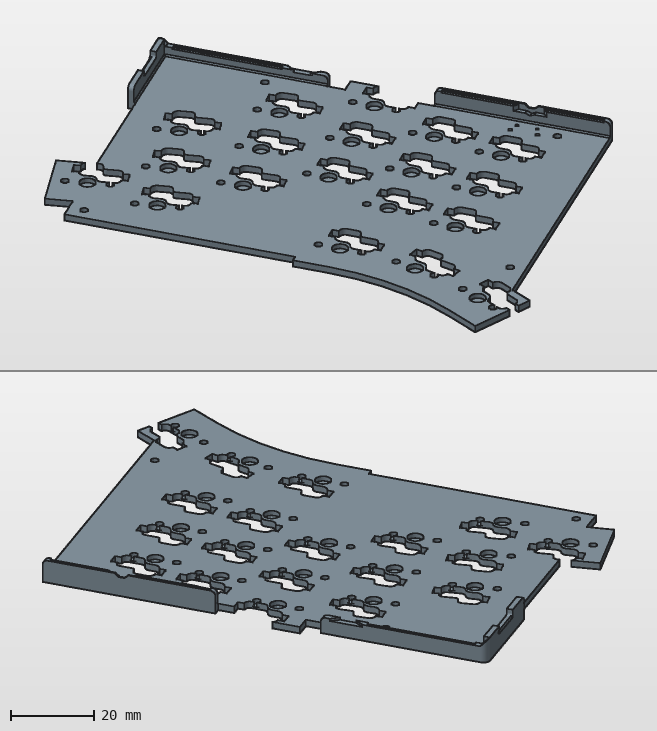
import cadquery as cq
import math


PLATE_WIDTH = 113.0
PLATE_DEPTH = 75.0
PLATE_THICK = 1.8
CELL_WIDTH = 18.1
CELL_DEPTH = 17.5

KEY_SPACING = 17.0
KEY_COLUMNS = [
    (14.0, 44.4, 10, 3),
    (34.1, 59.9, 4, 3),
    (54.8, 70.2, 0, 3),
    (72.9, 61.9, 0, 3),
    (90.9, 59.0, 0, 3),
]
SIDE_KEY = (0.6, 15.3, 10)
REAR_KEY = (54.8, 70.2, 0)
FAN_X = 67.8
FAN_KEY_Y = 7.0
FAN_RADIUS = 77.1
FAN_STEP = 15
THUMB_KEYS = 3

POST_DIA = 4.0
PEG_DIA = 1.9
PEG_OFFSET = 5.5
POCKET_DEPTH = 1.3

MOUNT_DIA = 1.9
MOUNT_HOLES = [(26.4, 71.7), (100.9, 71.7), (109.2, 12.3), (3.8, 3.3)]
CONNECTOR_X = 92.6
CONNECTOR_HOLES = [(2.6, 73.1, 0.8), (3.5, 70.7, 1.0)]

WALL_THICK = 1.5
WALL_GAP = 0.4
WALL_REACH = WALL_GAP + WALL_THICK
CORNER_RADIUS = 1.8
END_ROUND = 1.3
LEFT_WALL_HEIGHT = 6.4
LEFT_WALL_START = 52.6
REAR_LEFT_HEIGHT = 4.4
REAR_LEFT_END = 41.2
REAR_RIGHT_HEIGHT = 6.0
REAR_RIGHT_START = 68.4
LEDGE_DROP = 0.4
LEDGE_WIDTH = 0.8
REAR_LEFT_LEDGE = (1.7, 29.5)
LEDGE_END_GAP = 1.7

SIDE_NOTCH_START = 60.2
SIDE_NOTCH_END = 69.3
SIDE_NOTCH_DEPTH = 1.7
SIDE_NOTCH_BEVEL = 0.4
FLARE_X = 34.6
FLARE_INNER_WIDTH = 4.1
FLARE_OUTER_WIDTH = 8.5
FLARE_DEPTH = 0.6
SOCKET_INNER_WIDTH = 8.5
SOCKET_OUTER_WIDTH = 6.4
SOCKET_DEPTH = 1.8
SOCKET_REACH = 1.2
SADDLE_TOP_WIDTH = 3.5
SADDLE_FLOOR_WIDTH = 1.5
SADDLE_DEPTH = 0.9
VEE_WIDTH = 2.3
VEE_DEPTH = 0.5

REAR_INNER = PLATE_DEPTH + WALL_GAP
REAR_OUTER = PLATE_DEPTH + WALL_REACH
LEFT_INNER = -WALL_GAP
LEFT_OUTER = -WALL_REACH


def place(shape, key):
    x, y, tilt = key
    return shape.rotate((0, 0, 0), (0, 0, 1), tilt).translate((x, y, 0))


def column_keys(x, y, tilt, count):
    angle = math.radians(tilt)
    step_x = KEY_SPACING * math.sin(angle)
    step_y = -KEY_SPACING * math.cos(angle)
    return [(x + i * step_x, y + i * step_y, tilt) for i in range(count)]


def fan_point(radius, tilt):
    angle = math.radians(tilt)
    apex_y = FAN_KEY_Y - FAN_RADIUS
    return FAN_X + radius * math.sin(angle), apex_y + radius * math.cos(angle)


def block(x0, x1, y0, y1, z0, z1):
    return cq.Workplane("XY").box(x1 - x0, y1 - y0, z1 - z0, centered=False).translate((x0, y0, z0))


thumb_keys = [(*fan_point(FAN_RADIUS, i * FAN_STEP), -i * FAN_STEP) for i in range(THUMB_KEYS)]
keys = [SIDE_KEY] + thumb_keys
for column in KEY_COLUMNS:
    keys += column_keys(*column)


def make_plate():
    plate = block(0, PLATE_WIDTH, 0, PLATE_DEPTH, 0, PLATE_THICK)
    cell = cq.Workplane("XY").rect(CELL_WIDTH, CELL_DEPTH).extrude(PLATE_THICK)
    plate = plate.union(place(cell, SIDE_KEY)).union(place(cell, thumb_keys[-1]))
    half_cell = block(-CELL_WIDTH / 2, 0, 0, CELL_DEPTH / 2, 0, PLATE_THICK)
    plate = plate.union(place(half_cell, REAR_KEY))
    edge_radius = FAN_RADIUS - CELL_DEPTH / 2
    last_tilt = (THUMB_KEYS - 1) * FAN_STEP
    start = fan_point(edge_radius, 0)
    middle = fan_point(edge_radius, last_tilt / 2)
    end = fan_point(edge_radius, last_tilt)
    fan = (
        cq.Workplane("XY")
        .moveTo(FAN_X - CELL_WIDTH / 2, start[1])
        .lineTo(*start)
        .threePointArc(middle, end)
        .lineTo(*thumb_keys[-1][:2])
        .lineTo(thumb_keys[-1][0], FAN_KEY_Y)
        .lineTo(FAN_X - CELL_WIDTH / 2, FAN_KEY_Y)
        .close()
        .extrude(PLATE_THICK)
    )
    return plate.union(fan)


def make_switch_slot():
    return (
        cq.Workplane("XY")
        .moveTo(-4.5, 4.5)
        .lineTo(-4.5, 7.3)
        .lineTo(-2.8, 7.3)
        .threePointArc((-2.5, 8.3), (-1.4, 8.9))
        .lineTo(1.5, 8.9)
        .threePointArc((2.3, 8.5), (2.7, 7.7))
        .threePointArc((2.8, 6.9), (3.5, 6.5))
        .lineTo(6.4, 6.5)
        .threePointArc((7.5, 6.2), (7.8, 5.1))
        .lineTo(9.5, 5.1)
        .lineTo(9.5, 2.3)
        .lineTo(7.8, 2.3)
        .threePointArc((7.5, 1.3), (6.4, 0.9))
        .lineTo(3.3, 0.9)
        .threePointArc((2.5, 1.2), (1.9, 1.9))
        .threePointArc((1.4, 2.7), (0.5, 3.1))
        .lineTo(-1.4, 3.1)
        .threePointArc((-2.3, 3.6), (-2.8, 4.5))
        .close()
        .extrude(PLATE_THICK)
    )


def make_key_cut():
    floor = cq.Workplane("XY").workplane(offset=PLATE_THICK - POCKET_DEPTH)
    post = floor.circle(POST_DIA / 2).extrude(POCKET_DEPTH)
    pegs = floor.pushPoints([(-PEG_OFFSET, 0), (PEG_OFFSET, 0)]).circle(PEG_DIA / 2).extrude(POCKET_DEPTH)
    return make_switch_slot().union(post).union(pegs)


def cut_small_holes(body):
    mounts = cq.Workplane("XY").pushPoints(MOUNT_HOLES).circle(MOUNT_DIA / 2).extrude(PLATE_THICK)
    body = body.cut(mounts)
    floor = cq.Workplane("XY").workplane(offset=PLATE_THICK - POCKET_DEPTH)
    for offset, y, diameter in CONNECTOR_HOLES:
        pair = [(CONNECTOR_X - offset, y), (CONNECTOR_X + offset, y)]
        body = body.cut(floor.pushPoints(pair).circle(diameter / 2).extrude(POCKET_DEPTH))
    return body


def rear_prism(points, y0, y1):
    return cq.Workplane("XZ", origin=(0, y1, 0)).polyline(points).close().extrude(y1 - y0)


def flared_cut(x, y0, width0, y1, width1, z0, z1):
    points = [
        (x - width0 / 2, y0),
        (x + width0 / 2, y0),
        (x + width1 / 2, y1),
        (x - width1 / 2, y1),
    ]
    return cq.Workplane("XY").workplane(offset=z0).polyline(points).close().extrude(z1 - z0)


def make_left_wall():
    wall = block(LEFT_OUTER, LEFT_INNER, LEFT_WALL_START, REAR_INNER, 0, LEFT_WALL_HEIGHT)
    wall = wall.edges("|X and >Z and <Y").fillet(END_ROUND)
    floor = LEFT_WALL_HEIGHT - SIDE_NOTCH_DEPTH
    notch = block(LEFT_OUTER, LEFT_INNER, SIDE_NOTCH_START, SIDE_NOTCH_END, floor, LEFT_WALL_HEIGHT)
    notch = notch.edges("|X and <Z").fillet(END_ROUND / 2)
    wall = wall.cut(notch)
    bevel_outline = [
        (LEFT_OUTER, floor - SIDE_NOTCH_BEVEL),
        (LEFT_OUTER + SIDE_NOTCH_BEVEL, floor),
        (LEFT_OUTER, floor),
    ]
    wall = wall.cut(rear_prism(bevel_outline, SIDE_NOTCH_START, SIDE_NOTCH_END))
    return wall.union(block(LEFT_INNER, 0, LEFT_WALL_START, REAR_INNER, 0, PLATE_THICK))


def make_rear_left_wall():
    top = REAR_LEFT_HEIGHT
    profile = [
        (LEFT_OUTER, 0),
        (REAR_LEFT_END, 0),
        (REAR_LEFT_END, top),
        (0, top),
        (LEFT_OUTER, LEFT_WALL_HEIGHT),
    ]
    wall = rear_prism(profile, REAR_INNER, REAR_OUTER)
    wall_middle = (REAR_INNER + REAR_OUTER) / 2
    end_corner = cq.selectors.NearestToPointSelector((REAR_LEFT_END, wall_middle, top))
    wall = wall.edges(end_corner).fillet(END_ROUND)
    ledge_start, ledge_end = REAR_LEFT_LEDGE
    wall = wall.cut(block(ledge_start, ledge_end, REAR_INNER, REAR_INNER + LEDGE_WIDTH, top - LEDGE_DROP, top))
    flare = flared_cut(
        FLARE_X, REAR_INNER, FLARE_INNER_WIDTH, REAR_OUTER, FLARE_OUTER_WIDTH, top - FLARE_DEPTH, top
    )
    wall = wall.cut(flare)
    return wall.union(block(0, REAR_LEFT_END, PLATE_DEPTH, REAR_INNER, 0, PLATE_THICK))


def make_rear_right_wall():
    top = REAR_RIGHT_HEIGHT
    wall = block(REAR_RIGHT_START, PLATE_WIDTH, REAR_INNER, REAR_OUTER, 0, top)
    wall = wall.edges("|Y and >Z").fillet(END_ROUND)
    wall = wall.cut(
        block(
            REAR_RIGHT_START + LEDGE_END_GAP, PLATE_WIDTH - LEDGE_END_GAP,
            REAR_INNER, REAR_INNER + LEDGE_WIDTH, top - LEDGE_DROP, top,
        )
    )
    socket_floor = top - SOCKET_DEPTH
    socket_back = REAR_INNER + SOCKET_REACH
    wall = wall.cut(
        flared_cut(
            CONNECTOR_X, REAR_INNER, SOCKET_INNER_WIDTH, socket_back, SOCKET_OUTER_WIDTH, socket_floor, top
        )
    )
    saddle = [
        (CONNECTOR_X - SADDLE_TOP_WIDTH / 2, top),
        (CONNECTOR_X - SADDLE_FLOOR_WIDTH / 2, top - SADDLE_DEPTH),
        (CONNECTOR_X + SADDLE_FLOOR_WIDTH / 2, top - SADDLE_DEPTH),
        (CONNECTOR_X + SADDLE_TOP_WIDTH / 2, top),
    ]
    vee = [
        (CONNECTOR_X - VEE_WIDTH / 2, socket_floor),
        (CONNECTOR_X, socket_floor - VEE_DEPTH),
        (CONNECTOR_X + VEE_WIDTH / 2, socket_floor),
    ]
    wall = wall.cut(rear_prism(saddle, REAR_INNER, REAR_OUTER))
    wall = wall.cut(rear_prism(vee, REAR_INNER, socket_back))
    return wall.union(block(REAR_RIGHT_START, PLATE_WIDTH, PLATE_DEPTH, REAR_INNER, 0, PLATE_THICK))


def make_base_bevels():
    top = PLATE_THICK
    rear_outline = [(PLATE_DEPTH, top), (REAR_INNER, top), (REAR_INNER, top + WALL_GAP)]
    bevels = cq.Workplane("XY")
    for start, end in [(0, REAR_LEFT_END), (REAR_RIGHT_START, PLATE_WIDTH)]:
        strip = cq.Workplane("YZ", origin=(start, 0, 0)).polyline(rear_outline).close().extrude(end - start)
        bevels = bevels.union(strip)
    side_outline = [(0, top), (LEFT_INNER, top), (LEFT_INNER, top + WALL_GAP)]
    side_strip = rear_prism(side_outline, LEFT_WALL_START, REAR_INNER)
    return bevels.union(side_strip)


def make_corner_waste():
    centre_x = LEFT_OUTER + CORNER_RADIUS
    centre_y = REAR_OUTER - CORNER_RADIUS
    waste = block(LEFT_OUTER, centre_x, centre_y, REAR_OUTER, 0, LEFT_WALL_HEIGHT)
    keep = cq.Workplane("XY").center(centre_x, centre_y).circle(CORNER_RADIUS).extrude(LEFT_WALL_HEIGHT)
    return waste.cut(keep)


walls = make_left_wall().union(make_rear_left_wall()).union(make_rear_right_wall())
body = make_plate().union(walls).union(make_base_bevels())
body = body.cut(make_corner_waste())

key_cut = make_key_cut()
for key in keys:
    body = body.cut(place(key_cut, key))

result = cut_small_holes(body)